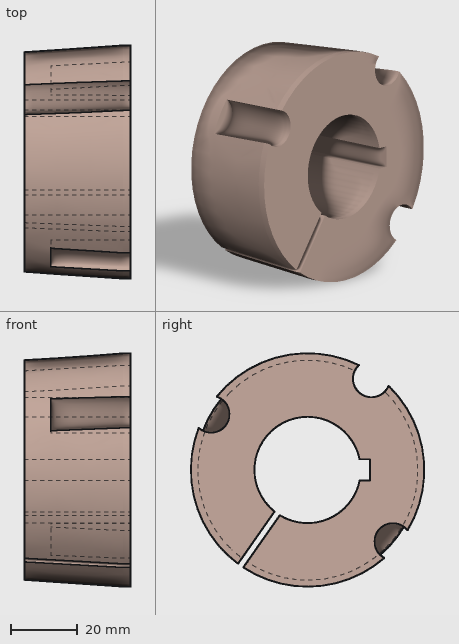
import cadquery as cq
import math

length = 31.75
large_radius = 34.9
small_radius = 32.9
rim_length = 2.2

bore_radius = 15.85
keyway_width = 6.3
keyway_depth_from_axis = 18.65

slit_width = 1.9
slit_angle = -125.0

notch_radius = 5.5
notch_centre_radius = 33.3
notch_spacing = 95.0
through_notch_angle = slit_angle + 180.0
blind_notch_length = 23.9


def tapered_body():
    """Cone with a short cylindrical rim, revolved about the X axis."""
    profile = (
        cq.Workplane("XY")
        .moveTo(0, 0)
        .lineTo(0, small_radius)
        .lineTo(length - rim_length, large_radius)
        .lineTo(length, large_radius)
        .lineTo(length, 0)
        .close()
    )
    return profile.revolve(360, (0, 0, 0), (1, 0, 0))


def bore_with_keyway():
    """Through bore with a rectangular keyway on the +Y side."""
    bore = cq.Workplane("YZ").circle(bore_radius).extrude(length)
    keyway = cq.Workplane("XY").box(
        length, keyway_depth_from_axis, keyway_width, centered=(False, False, True)
    )
    return bore.union(keyway)


def slit():
    """Radial cut from the bore out through the wall."""
    cutter = cq.Workplane("XY").box(
        length, large_radius + slit_width, slit_width, centered=(False, False, True)
    )
    return cutter.rotate((0, 0, 0), (1, 0, 0), slit_angle)


def notch(angle, notch_length):
    """Round notch parallel to the axis, cut inward from the large end."""
    centre_y = notch_centre_radius * math.cos(math.radians(angle))
    centre_z = notch_centre_radius * math.sin(math.radians(angle))
    return (
        cq.Workplane("YZ", origin=(length - notch_length, 0, 0))
        .center(centre_y, centre_z)
        .circle(notch_radius)
        .extrude(notch_length)
    )


result = tapered_body().cut(bore_with_keyway()).cut(slit())
result = result.cut(notch(through_notch_angle, length))
for side in (-1, 1):
    blind_notch_angle = through_notch_angle + side * notch_spacing
    result = result.cut(notch(blind_notch_angle, blind_notch_length))